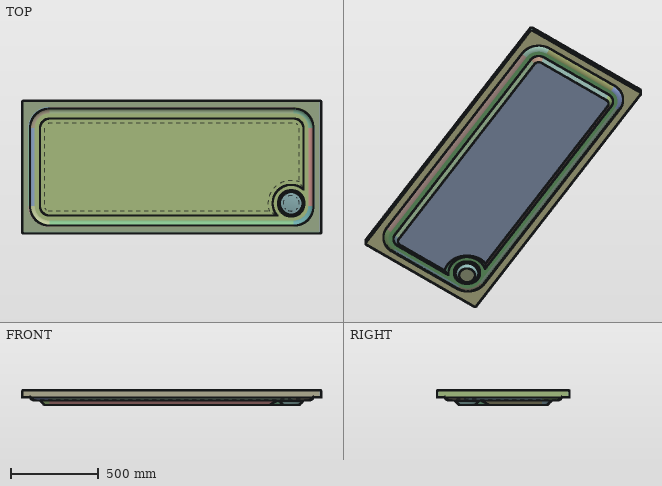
import cadquery as cq

LENGTH = 1705.0
WIDTH = 757.0
HEIGHT = 85.0

RIM_THICKNESS = 41.0
RIM_ROUND = 10.0
RIM_BOTTOM = HEIGHT - RIM_THICKNESS

CORNER_CENTRE_INSET = 157.0
BASIN_INSET = 43.0
BASIN_TAPER = 7.0
BASIN_ROUND = 27.0
LIP_ROUND = 7.0
FLOOR_Z = 30.0
SHELL = 5.0

PAN_INSET = 41.0
PAN_ROUND = 34.0
PAN_BOTTOM = FLOOR_Z - SHELL

BASE_INSET = 128.0
BASE_TAPER = 45.0
CONE_GROWTH = 2 * PAN_BOTTOM

DRAIN_INSET = 172.0
DRAIN_X = LENGTH / 2 - DRAIN_INSET
DRAIN_Y = DRAIN_INSET - WIDTH / 2
RECESS_DIAMETER = 150.0
COVER_DIAMETER = 130.0
SUMP_DIAMETER = 90.0
SEAT_DEPTH = 7.0
SEAT_Z = FLOOR_Z - SEAT_DEPTH
COVER_RISE = 2.0
COVER_EDGE_Z = FLOOR_Z + COVER_RISE
COVER_DOME = 7.0
POCKET_DIAMETER = 263.0


def rounded_block(inset, start, end, taper=0):
    """A block with rounded corners, extruded from one level to another.

    At the start level its sides are set in from the outer sides of the tray by the inset.
    A positive taper narrows it towards the end level.
    """
    outline = (
        cq.Sketch()
        .rect(LENGTH - 2 * inset, WIDTH - 2 * inset)
        .vertices()
        .fillet(CORNER_CENTRE_INSET - inset)
    )
    return cq.Workplane("XY").workplane(offset=start).placeSketch(outline).extrude(end - start, taper=taper)


def drain_cone(bottom, bottom_diameter, top, top_diameter):
    """A cone frustum, or a cylinder, on the drain axis."""
    return (
        cq.Workplane("XZ", origin=(DRAIN_X, DRAIN_Y, 0))
        .moveTo(0, bottom)
        .lineTo(bottom_diameter / 2, bottom)
        .lineTo(top_diameter / 2, top)
        .lineTo(0, top)
        .close()
        .revolve(360, (0, 0), (0, 1))
    )


def make_rim():
    """The solid plate of the rim, its upright and top edges rounded."""
    return (
        cq.Workplane("XY")
        .workplane(offset=RIM_BOTTOM)
        .rect(LENGTH, WIDTH)
        .extrude(RIM_THICKNESS)
        .edges("|Z or >Z")
        .fillet(RIM_ROUND)
    )


def make_pan():
    """A block reaching up into the rim, its bottom edge rounded."""
    return rounded_block(PAN_INSET, PAN_BOTTOM, HEIGHT - RIM_ROUND).faces("<Z").edges().fillet(PAN_ROUND)


def make_base():
    """A block that widens upwards, with a pocket around the drain sump."""
    block = rounded_block(BASE_INSET, 0, PAN_BOTTOM, -BASE_TAPER)
    pocket = drain_cone(0, POCKET_DIAMETER, PAN_BOTTOM, POCKET_DIAMETER - CONE_GROWTH)
    sump = drain_cone(0, SUMP_DIAMETER, PAN_BOTTOM, SUMP_DIAMETER + CONE_GROWTH)
    return block.cut(pocket).union(sump)


def make_tray():
    """Rim, pan and base as one solid, with the basin and the drain recess cut out."""
    basin = rounded_block(BASIN_INSET, HEIGHT, FLOOR_Z, BASIN_TAPER).faces("<Z").edges().fillet(BASIN_ROUND)
    tray = make_rim().union(make_pan()).cut(basin)
    lip = tray.faces(">Z").wires(cq.selectors.LengthNthSelector(0))
    tray = lip.edges().fillet(LIP_ROUND)
    recess = drain_cone(SEAT_Z, COVER_DIAMETER, FLOOR_Z, RECESS_DIAMETER)
    return tray.union(make_base()).cut(recess)


def make_cover():
    """A disc with a domed top, standing on the seat of the drain recess."""
    radius = COVER_DIAMETER / 2
    dome_radius = (radius**2 + COVER_DOME**2) / (2 * COVER_DOME)
    return (
        cq.Workplane("XZ", origin=(DRAIN_X, DRAIN_Y, 0))
        .moveTo(0, SEAT_Z)
        .lineTo(radius, SEAT_Z)
        .lineTo(radius, COVER_EDGE_Z)
        .radiusArc((0, COVER_EDGE_Z + COVER_DOME), -dome_radius)
        .close()
        .revolve(360, (0, 0), (0, 1))
    )


tray = make_tray()
cover = make_cover()
result = cq.Compound.makeCompound([tray.val(), cover.val()])